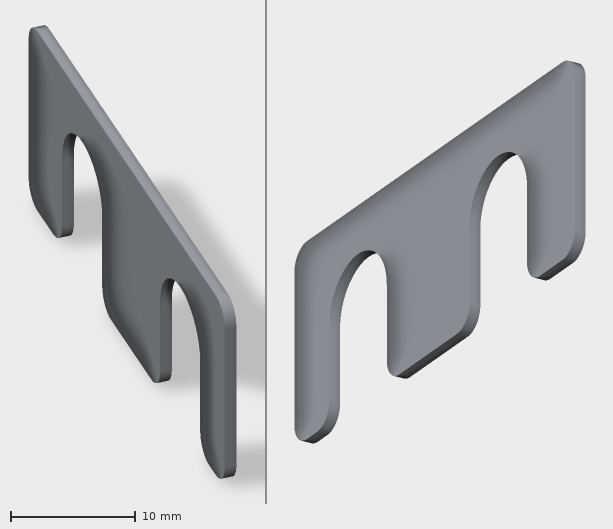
import cadquery as cq

length = 44.0
height = 17.5
thickness = 1.0
corner_radius = 2.0

slot_count = 2
slot_width = 9.0
slot_depth = 13.2
slot_pitch = length / slot_count
first_slot_x = 12.0
slot_radius = slot_width / 2

plate = cq.Workplane("XY").box(length, thickness, height, centered=(False, True, False))


def slot(center_x):
    """Cutter for one slot: straight sides closed by a half-round top."""
    return (
        cq.Workplane("XZ")
        .moveTo(center_x - slot_radius, 0)
        .lineTo(center_x + slot_radius, 0)
        .lineTo(center_x + slot_radius, slot_depth - slot_radius)
        .threePointArc(
            (center_x, slot_depth),
            (center_x - slot_radius, slot_depth - slot_radius),
        )
        .close()
        .extrude(thickness, both=True)
    )


for index in range(slot_count):
    plate = plate.cut(slot(first_slot_x + index * slot_pitch))

top_corners = plate.faces(">Z").edges("|Y")
leg_corners = plate.faces("<Z").edges("|Y")
result = plate.newObject(top_corners.vals() + leg_corners.vals()).fillet(corner_radius)